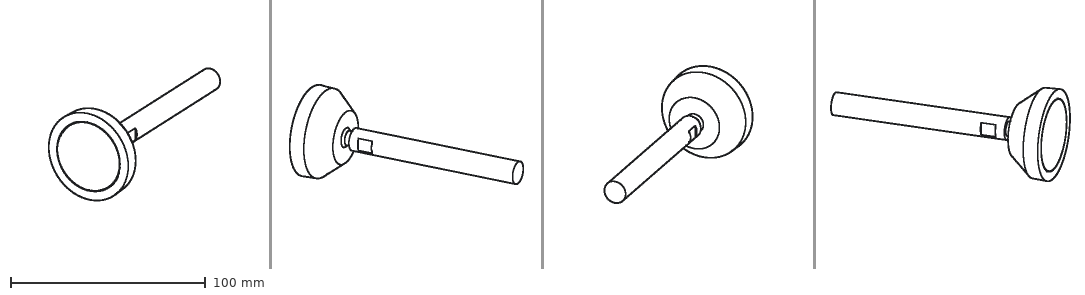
import cadquery as cq
import math

total_length = 120.0

sole_radius = 24.0
rim_top_radius = 23.6
rim_height = 8.0
crown_radius = 14.2
foot_height = 19.9
groove_outer_diameter = 38.0
groove_inner_diameter = 37.5
groove_depth = 1.2

stud_diameter = 12.0
stud_start = 25.0
neck_diameter = 7.8
ball_diameter = 12.0
neck_start = 21.4

across_flats = 10.0
flats_start = 30.0
flats_length = 8.0

ball_radius = ball_diameter / 2
neck_radius = neck_diameter / 2
ball_center = neck_start - math.sqrt(ball_radius**2 - neck_radius**2)


def cylinder_along_y(diameter, start, end):
    return (
        cq.Workplane("XZ", origin=(0, start, 0))
        .circle(diameter / 2)
        .extrude(start - end)
    )


def make_ball():
    return cq.Workplane("XY").sphere(ball_radius).translate((0, ball_center, 0))


def make_foot():
    """Tapered foot with a ball socket and a ring groove in its sole."""
    profile = [
        (0, 0),
        (sole_radius, 0),
        (rim_top_radius, rim_height),
        (crown_radius, foot_height),
        (0, foot_height),
    ]
    body = cq.Workplane("XY").polyline(profile).close().revolve(360, (0, 0, 0), (0, 1, 0))
    groove = cylinder_along_y(groove_outer_diameter, 0, groove_depth).cut(
        cylinder_along_y(groove_inner_diameter, 0, groove_depth)
    )
    return body.cut(groove).cut(make_ball())


def make_stud():
    """Round stud with two wrench flats, a neck and a ball end."""
    rod = cylinder_along_y(stud_diameter, stud_start, total_length)
    flat_depth = (stud_diameter - across_flats) / 2
    for side in (-1, 1):
        flat_cut = (
            cq.Workplane("XY")
            .box(flat_depth, flats_length, stud_diameter)
            .translate((side * (across_flats + flat_depth) / 2, flats_start + flats_length / 2, 0))
        )
        rod = rod.cut(flat_cut)
    neck = cylinder_along_y(neck_diameter, ball_center, stud_start)
    return rod.union(neck).union(make_ball())


foot = make_foot()
stud = make_stud()

result = cq.Compound.makeCompound([foot.solids().val(), stud.solids().val()])